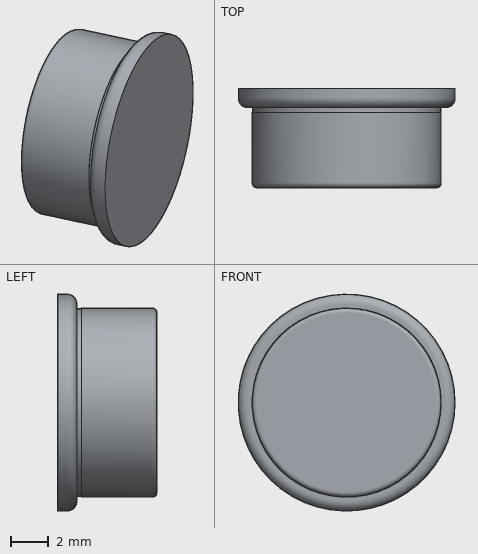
import cadquery as cq

flange_diameter = 11.48
body_diameter = 10.01
neck_diameter = 9.96
total_length = 5.26

flange_thickness = 1.02
neck_length = 0.25

flange_round = 0.51
body_round = 0.25

front_y = -total_length / 2
back_y = front_y + total_length
flange_front_y = back_y - flange_thickness
neck_front_y = flange_front_y - neck_length


def disc(diameter, start_y, end_y):
    """Solid cylinder on the Y axis between two positions."""
    start_plane = cq.Workplane("XZ", origin=(0, start_y, 0))
    return start_plane.circle(diameter / 2).extrude(start_y - end_y)


def make_flange():
    flange = disc(flange_diameter, flange_front_y, back_y)
    return flange.faces("<Y").edges().fillet(flange_round)


def make_body():
    body = disc(body_diameter, front_y, neck_front_y)
    return body.faces("<Y").edges().fillet(body_round)


def make_neck():
    return disc(neck_diameter, neck_front_y, flange_front_y)


result = make_body().union(make_neck()).union(make_flange())